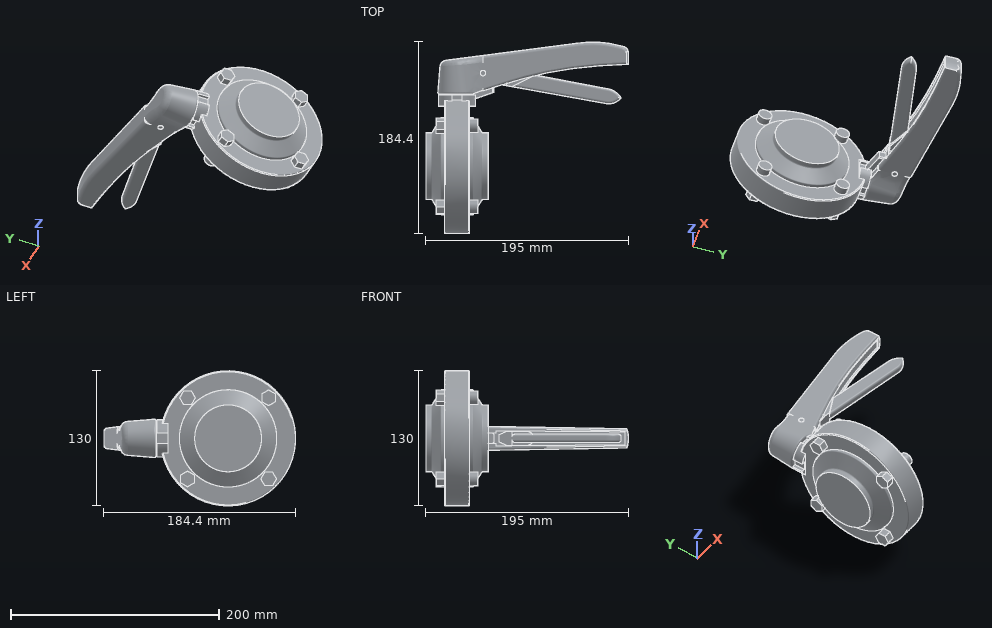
import cadquery as cq
import math


margin = 1.0

flange_radius = 130.0 / 2
flange_half_width = 12.0
flange_edge_fillet = 1.0
pipe_radius = 32.2
pipe_half_length = 30.0
shoulder_radius = 46.8
shoulder_half_length = 15.5
cone_half_length = 24.2
cone_fillet = 1.2

bolt_offset = 39.0
bolt_head_flats = 13.0
bolt_half_length = 20.0
bolt_count = 4
nut_diameter = 13.3

collar_radius = 37.2 / 2
collar_bottom = 57.5
collar_top = 68.6
collar_edge_fillet = 1.0
notch_width = 10.0
notch_floor = 14.2
notch_count = 4

hub_gap = 0.5
hub_bottom = collar_top + hub_gap
hub_radius = 18.7
hub_draft = 4.6
hub_top_fillet = 6.8
hub_bottom_fillet = 1.5
hub_blend_end = 25.0

lever_end = 165.0
lever_tip_side = 163.0
lever_root_half = 11.7
lever_tip_half = 9.4
lever_top_fillet = 3.5
lever_bottom_fillet = 2.1
crown_slope = 0.13
crown_height = 103.3
crown_end = 117.0
crown_peak = (139.2, 119.1)
crown_drop = (159.0, 115.5)
tip_corner = (163.2, 113.0)
tip_top = (lever_end, 109.2)
tip_bottom = (lever_end, 97.9)
hollow_points = [(128.7, 95.7), (93.5, 91.0), (65.1, 84.6), (34.5, 75.5)]
hollow_rise = 3.9
hollow_start = (14.5, hub_bottom)

channel_depth = 1.5
channel_start = 37.6
channel_end = 161.6
channel_root_half = 7.2
channel_tip_half = 6.2

pin_height = 89.5
pin_radius = 5.3 / 2
pin_half_length = 11.3

trigger_half = 4.0
trigger_fillet = 2.5
trigger_low = (142.3, 60.3)
trigger_low_bend = (153.3, 61.8)
trigger_tip = (157.7, 65.7)
trigger_high_bend = (153.0, 71.0)
trigger_high = (144.0, 74.7)
trigger_bottom_slope = 0.18
trigger_top_slope = 0.19
head_half = 6.6
head_start_half = 3.5
head_start = 40.5
head_end = 73.7
head_low_end = 52.6
head_wide_start = 47.4
head_wide_end = 68.2
head_high = (head_end, 87.0)
head_top = 91.6

latch_end = 35.5
latch_low = 63.5
latch_slope = 0.35
latch_top = 81.9
latch_end_chamfer = 1.2


def plan(height):
    """Sketch plane across Y, with X kept as the sketch x and the extrusion towards +Y."""
    return cq.Workplane(cq.Plane((0, height, 0), (1, 0, 0), (0, 1, 0)))


def make_flange():
    return (
        cq.Workplane("YZ").circle(flange_radius).extrude(flange_half_width, both=True)
        .edges().fillet(flange_edge_fillet)
    )


def make_pipe():
    """Pipe ends, cones and shoulders in one turned shape."""
    half = (
        cq.Workplane("XY")
        .moveTo(0, 0)
        .lineTo(0, shoulder_radius)
        .lineTo(shoulder_half_length, shoulder_radius)
        .lineTo(cone_half_length, pipe_radius)
        .lineTo(pipe_half_length, pipe_radius)
        .lineTo(pipe_half_length, 0)
        .close()
        .revolve(360, (0, 0, 0), (1, 0, 0))
    )
    reach = shoulder_radius + margin
    rims = cq.selectors.BoxSelector(
        (shoulder_half_length - margin, -reach, -reach),
        (cone_half_length + margin, reach, reach),
    )
    half = half.edges(rims).edges("%CIRCLE").fillet(cone_fillet)
    return half.union(half.mirror("YZ"))


def make_bolt(turn):
    """Bolt in the +Y +Z corner, turned about X to its place."""
    head = (
        cq.Workplane("YZ", origin=(-bolt_half_length, bolt_offset, bolt_offset))
        .polygon(6, bolt_head_flats / math.cos(math.pi / 6))
        .extrude(bolt_half_length)
    )
    nut = (
        cq.Workplane("YZ", origin=(0, bolt_offset, bolt_offset))
        .circle(nut_diameter / 2)
        .extrude(bolt_half_length)
    )
    return head.union(nut).rotate((0, 0, 0), (1, 0, 0), turn)


def make_collar():
    height = collar_top - collar_bottom
    collar = plan(collar_bottom).circle(collar_radius).extrude(height)
    collar = collar.faces(">Y").edges().fillet(collar_edge_fillet)
    for i in range(notch_count):
        notch = (
            plan(collar_bottom)
            .center(notch_floor + collar_radius / 2, 0)
            .rect(collar_radius, notch_width)
            .extrude(height)
            .rotate((0, 0, 0), (0, 1, 0), 360 / notch_count * i)
        )
        collar = collar.cut(notch)
    return collar


def make_valve():
    valve = make_flange().union(make_pipe()).union(make_collar())
    for i in range(bolt_count):
        valve = valve.union(make_bolt(360 / bolt_count * i))
    return valve


def crown(x):
    return crown_height + crown_slope * x


def hollow_curve(sketch):
    """Draw the underside of the lever from its tip back to the hub."""
    return sketch.spline(hollow_points + [hollow_start], includeCurrent=True)


def hub_outline(sketch, radius):
    """Hub circle that runs into the lever sides, each through a concave arc tangent to both."""
    half = lever_root_half
    blend = (hub_blend_end**2 + half**2 - radius**2) / (2 * (radius - half))
    centre_z = half + blend
    reach = math.atan2(centre_z, hub_blend_end)
    touch = (radius * math.cos(reach), radius * math.sin(reach))
    turn = -(reach + 1.5 * math.pi) / 2 + reach
    middle = (hub_blend_end + blend * math.cos(turn), centre_z + blend * math.sin(turn))
    return (
        sketch
        .moveTo(hub_blend_end, half)
        .threePointArc(middle, touch)
        .threePointArc((-radius, 0), (touch[0], -touch[1]))
        .threePointArc((middle[0], -middle[1]), (hub_blend_end, -half))
        .close()
    )


def make_hub():
    """Tapered hub under the sloping crown, rounded at its top and bottom rims."""
    rise = crown(hub_blend_end) - hub_bottom + margin
    narrow = hub_radius - rise * math.tan(math.radians(hub_draft))
    hub = hub_outline(plan(hub_bottom), hub_radius)
    hub = hub_outline(hub.workplane(offset=rise), narrow).loft(ruled=True)
    left = -hub_radius - margin
    envelope = (
        cq.Workplane("XY")
        .moveTo(left, hub_bottom)
        .lineTo(*hollow_start)
        .lineTo(hub_blend_end, hub_bottom + hollow_rise)
        .lineTo(hub_blend_end, crown(hub_blend_end))
        .lineTo(left, crown(left))
        .close()
        .extrude(hub_radius + margin, both=True)
    )
    hub = hub.intersect(envelope)
    top = cq.selectors.NearestToPointSelector((0, crown(0), 0))
    hub = hub.faces(top).edges("not(|Z)").fillet(hub_top_fillet)
    bottom = hub.faces("<Y").edges("not(|Z)")
    return bottom.fillet(hub_bottom_fillet)


def make_lever():
    """Lever arm, cut from its side shape and its tapering width, with rounded edges."""
    side = cq.Workplane("XY", origin=(0, 0, -hub_radius)).moveTo(*tip_bottom)
    side = (
        hollow_curve(side)
        .lineTo(0, hub_bottom)
        .lineTo(0, crown(0))
        .lineTo(crown_end, crown(crown_end))
        .threePointArc(crown_peak, crown_drop)
        .threePointArc(tip_corner, tip_top)
        .close()
        .extrude(2 * hub_radius)
    )
    width = (
        plan(0)
        .moveTo(hub_blend_end, lever_root_half)
        .lineTo(lever_tip_side, lever_tip_half)
        .threePointArc((lever_end, 0), (lever_tip_side, -lever_tip_half))
        .lineTo(hub_blend_end, -lever_root_half)
        .close()
        .extrude(2 * crown_height)
    )
    lever = side.intersect(width)
    top = side_edges(crown(hub_blend_end), 2 * crown_height)
    lever = lever.edges(top).edges("not(|Y)").fillet(lever_top_fillet)
    bottom = side_edges(0, tip_bottom[1] + margin)
    return lever.edges(bottom).fillet(lever_bottom_fillet)


def side_edges(low, high):
    """Select the long edges on both sides of the lever whose centres lie between two heights."""
    start = hub_blend_end + margin
    inner = lever_tip_half / 2
    outer = hub_radius
    front = cq.selectors.BoxSelector((start, low, inner), (lever_end, high, outer))
    back = cq.selectors.BoxSelector((start, low, -outer), (lever_end, high, -inner))
    return front + back


def make_channel():
    """Shallow recess along the underside of the lever, with a narrow run back to the latch."""
    raised = cq.Workplane("XY", origin=(0, channel_depth, -hub_radius)).moveTo(*tip_bottom)
    below = (
        hollow_curve(raised)
        .lineTo(hollow_start[0], 0)
        .lineTo(tip_bottom[0], 0)
        .close()
        .extrude(2 * hub_radius)
    )
    area = (
        plan(0)
        .moveTo(channel_start, channel_root_half)
        .lineTo(channel_end, channel_tip_half)
        .lineTo(channel_end, -channel_tip_half)
        .lineTo(channel_start, -channel_root_half)
        .close()
        .extrude(2 * crown_height)
    )
    run = (
        plan(0)
        .center((hub_blend_end + channel_start) / 2, 0)
        .rect(channel_start - hub_blend_end, notch_width)
        .extrude(2 * crown_height)
    )
    return below.intersect(area.union(run))


def make_pin_holes():
    """Cylinder outside both pin ends."""
    holes = cq.Workplane("XY")
    for start in (pin_half_length, -hub_radius):
        holes = holes.union(
            cq.Workplane("XY", origin=(hub_blend_end, pin_height, start))
            .circle(pin_radius)
            .extrude(hub_radius - pin_half_length)
        )
    return holes


def trigger_bottom(x):
    return trigger_low[1] - trigger_bottom_slope * (x - trigger_low[0])


def make_trigger():
    """Trigger blade and the wider head that carries it in the channel."""
    blade = (
        cq.Workplane("XY", origin=(0, 0, -trigger_half))
        .moveTo(head_start, trigger_bottom(head_start))
        .lineTo(*trigger_low)
        .threePointArc(trigger_low_bend, trigger_tip)
        .threePointArc(trigger_high_bend, trigger_high)
        .lineTo(head_end, trigger_high[1] + trigger_top_slope * (trigger_high[0] - head_end))
        .lineTo(head_start, head_top)
        .close()
        .extrude(2 * trigger_half)
    )
    reach = trigger_half + margin
    past_head = cq.selectors.BoxSelector((head_end, 0, -reach), (lever_end, crown_height, reach))
    blade = blade.faces("|Z").edges(past_head).fillet(trigger_fillet)
    side = (
        cq.Workplane("XY", origin=(0, 0, -head_half))
        .moveTo(head_start, trigger_bottom(head_start))
        .lineTo(head_low_end, trigger_bottom(head_low_end))
        .lineTo(*head_high)
        .lineTo(head_end, head_top)
        .lineTo(head_start, head_top)
        .close()
        .extrude(2 * head_half)
    )
    area = (
        plan(0)
        .moveTo(head_start, head_start_half)
        .lineTo(head_wide_start, head_half)
        .lineTo(head_wide_end, head_half)
        .threePointArc((head_end, 0), (head_wide_end, -head_half))
        .lineTo(head_wide_start, -head_half)
        .lineTo(head_start, -head_start_half)
        .close()
        .extrude(crown_height)
    )
    return blade.union(side.intersect(area))


def make_latch():
    """Tongue that slopes down from the lever root into the collar notch."""
    latch = (
        cq.Workplane("XY", origin=(0, 0, -notch_width / 2))
        .moveTo(notch_floor, latch_low)
        .lineTo(latch_end, latch_low + latch_slope * (latch_end - notch_floor))
        .lineTo(latch_end, latch_top)
        .lineTo(notch_floor, latch_top)
        .close()
        .extrude(notch_width)
    )
    return latch.edges("|Y and >X").chamfer(latch_end_chamfer)


def make_handle():
    handle = make_hub().union(make_lever()).cut(make_channel()).cut(make_pin_holes())
    return handle.union(make_trigger()).union(make_latch())


valve = make_valve()
handle = make_handle()
result = cq.Compound.makeCompound([valve.val(), handle.val()])